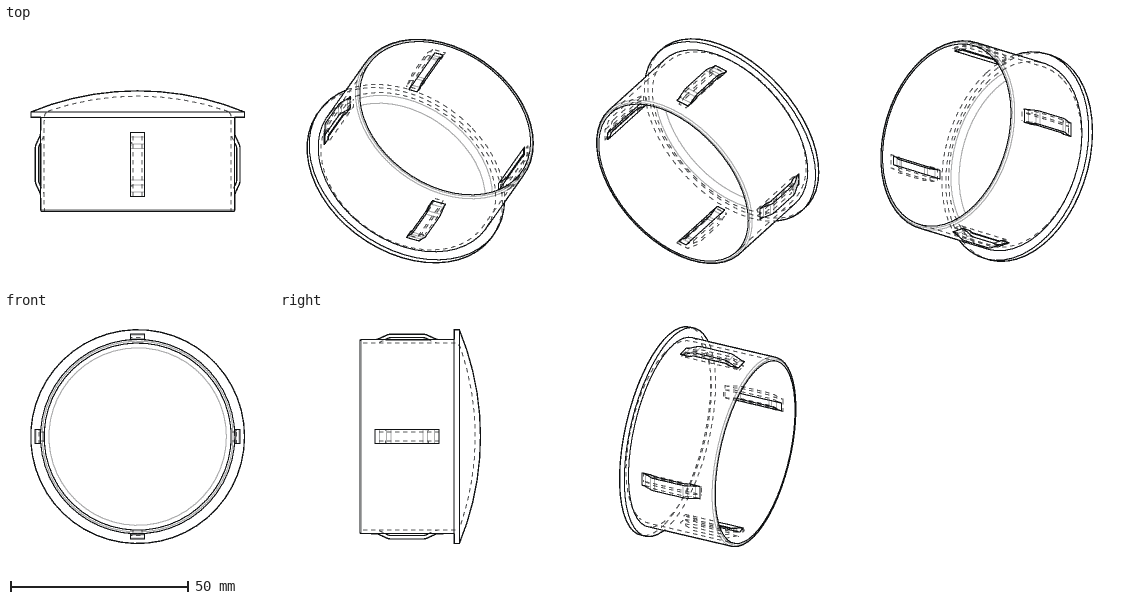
import cadquery as cq
import math

total_length = 34.0
flange_radius = 30.15
flange_thickness = 1.5
dome_height = 5.95
wall = 1.0
tube_radius = 27.4
rim_fillet = 0.5
dome_thickness = 1.5
inner_fillet = 2.0

clip_count = 4
clip_width = 4.0
clip_length = 18.1
clip_rise = 1.5
clip_bend_radius = 3.0
clip_ramp_angle = math.radians(25)
slot_width = 2.55

bore_radius = tube_radius - wall
tube_length = total_length - flange_thickness - dome_height
dome_radius = (flange_radius**2 + dome_height**2) / (2 * dome_height)
dome_center_y = total_length - dome_radius
inner_dome_radius = dome_radius - dome_thickness
clip_center_y = tube_length / 2


def sphere_height(sphere_radius, radius):
    """Axial position of a dome sphere at a given distance from the axis."""
    return dome_center_y + math.sqrt(sphere_radius**2 - radius**2)


def outer_body():
    """Solid of revolution: tube with a rounded open rim, flange and domed cover."""
    mid_radius = flange_radius / 2
    round_offset = rim_fillet * (1 - math.sqrt(0.5))
    return (
        cq.Workplane("XY")
        .lineTo(tube_radius - rim_fillet, 0)
        .threePointArc((tube_radius - round_offset, round_offset), (tube_radius, rim_fillet))
        .lineTo(tube_radius, tube_length)
        .lineTo(flange_radius, tube_length)
        .lineTo(flange_radius, tube_length + flange_thickness)
        .threePointArc((mid_radius, sphere_height(dome_radius, mid_radius)), (0, total_length))
        .close()
        .revolve(360, (0, 0, 0), (0, 1, 0))
    )


def inner_cavity():
    """Bore closed by a concentric dome, with a fillet where they meet."""
    fillet_center_radius = bore_radius - inner_fillet
    fillet_center_y = sphere_height(inner_dome_radius - inner_fillet, fillet_center_radius)
    tangent_angle = math.atan2(fillet_center_y - dome_center_y, fillet_center_radius)

    def fillet_point(angle):
        return (
            fillet_center_radius + inner_fillet * math.cos(angle),
            fillet_center_y + inner_fillet * math.sin(angle),
        )

    mid_radius = bore_radius / 2
    return (
        cq.Workplane("XY")
        .lineTo(bore_radius, 0)
        .lineTo(bore_radius, fillet_center_y)
        .threePointArc(fillet_point(tangent_angle / 2), fillet_point(tangent_angle))
        .threePointArc(
            (mid_radius, sphere_height(inner_dome_radius, mid_radius)),
            (0, dome_center_y + inner_dome_radius),
        )
        .close()
        .revolve(360, (0, 0, 0), (0, 1, 0))
    )


def clip_edge(depth):
    """Six points of one half of the strip, from foot to crest, at a depth below the outer face."""
    foot_center = (clip_length / 2, tube_radius + clip_bend_radius)
    bend_rise = clip_bend_radius * (1 - math.cos(clip_ramp_angle))
    ramp_run = (clip_rise - 2 * bend_rise) / math.tan(clip_ramp_angle)
    bend_run = clip_bend_radius * math.sin(clip_ramp_angle)
    crest_half_length = clip_length / 2 - 2 * bend_run - ramp_run
    crest_center = (crest_half_length, tube_radius + clip_rise - clip_bend_radius)
    foot_bend = clip_bend_radius + depth
    crest_bend = clip_bend_radius - depth

    def on_foot(angle):
        return (
            foot_center[0] - foot_bend * math.sin(angle),
            foot_center[1] - foot_bend * math.cos(angle),
        )

    def on_crest(angle):
        return (
            crest_center[0] + crest_bend * math.sin(angle),
            crest_center[1] + crest_bend * math.cos(angle),
        )

    half = clip_ramp_angle / 2
    foot = [on_foot(0), on_foot(half), on_foot(clip_ramp_angle)]
    crest = [on_crest(clip_ramp_angle), on_crest(half), on_crest(0)]
    return foot + crest


def clip_strip():
    """Bent strip on the +X side, extruded symmetrically across its width."""
    outer = clip_edge(0)
    inner = clip_edge(wall)

    def place(point):
        return (point[1], clip_center_y + point[0])

    def mirror(point):
        return (point[1], clip_center_y - point[0])

    def trace(path, points):
        start_bend, start_end, ramp_end, end_bend, end = points
        return path.threePointArc(start_bend, start_end).lineTo(*ramp_end).threePointArc(end_bend, end)

    path = cq.Workplane("XY").moveTo(*place(outer[0]))
    path = trace(path, [place(p) for p in outer[1:]])
    path = path.lineTo(*mirror(outer[-1]))
    path = trace(path, [mirror(p) for p in outer[-2::-1]])
    path = path.lineTo(*mirror(inner[0]))
    path = trace(path, [mirror(p) for p in inner[1:]])
    path = path.lineTo(*place(inner[-1]))
    path = trace(path, [place(p) for p in inner[-2::-1]])
    return path.close().extrude(clip_width / 2, both=True)


def clip_slot():
    """Window through the wall on the +X side, left open beneath the strip."""
    return (
        cq.Workplane("XY")
        .box(2 * wall + clip_rise, clip_length, slot_width)
        .translate((tube_radius, clip_center_y, 0))
    )


result = outer_body().cut(inner_cavity())
for index in range(clip_count):
    angle = index * 360 / clip_count
    result = result.cut(clip_slot().rotate((0, 0, 0), (0, 1, 0), angle))
    result = result.union(clip_strip().rotate((0, 0, 0), (0, 1, 0), angle))